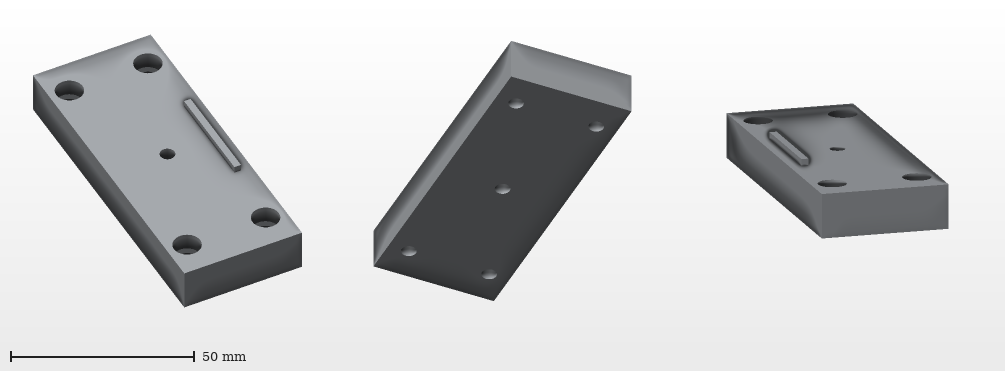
import cadquery as cq

base_length = 90.0
base_width = 36.0
base_height = 12.5

rib_length = 30.0
rib_width = 2.0
rib_height = 2.0
rib_edge_gap = 3.25

hole_diameter = 4.3
counterbore_diameter = 8.0
counterbore_depth = 5.0
screw_spacing_x = 70.0
screw_spacing_y = 24.0


def make_base():
    return cq.Workplane("XY").box(base_length, base_width, base_height, centered=(True, True, False))


def add_rib(body):
    rib_center_y = base_width / 2 - rib_edge_gap - rib_width / 2
    rib = (
        cq.Workplane("XY", origin=(0, rib_center_y, base_height))
        .box(rib_length, rib_width, rib_height, centered=(True, True, False))
    )
    return body.union(rib)


def cut_screw_holes(body):
    through_holes = (
        cq.Workplane("XY")
        .rarray(screw_spacing_x, screw_spacing_y, 2, 2)
        .circle(hole_diameter / 2)
        .extrude(base_height)
    )
    counterbores = (
        cq.Workplane("XY", origin=(0, 0, base_height))
        .rarray(screw_spacing_x, screw_spacing_y, 2, 2)
        .circle(counterbore_diameter / 2)
        .extrude(-counterbore_depth)
    )
    return body.cut(through_holes).cut(counterbores)


def cut_center_hole(body):
    center_hole = cq.Workplane("XY").circle(hole_diameter / 2).extrude(base_height)
    return body.cut(center_hole)


result = cut_center_hole(cut_screw_holes(add_rib(make_base())))